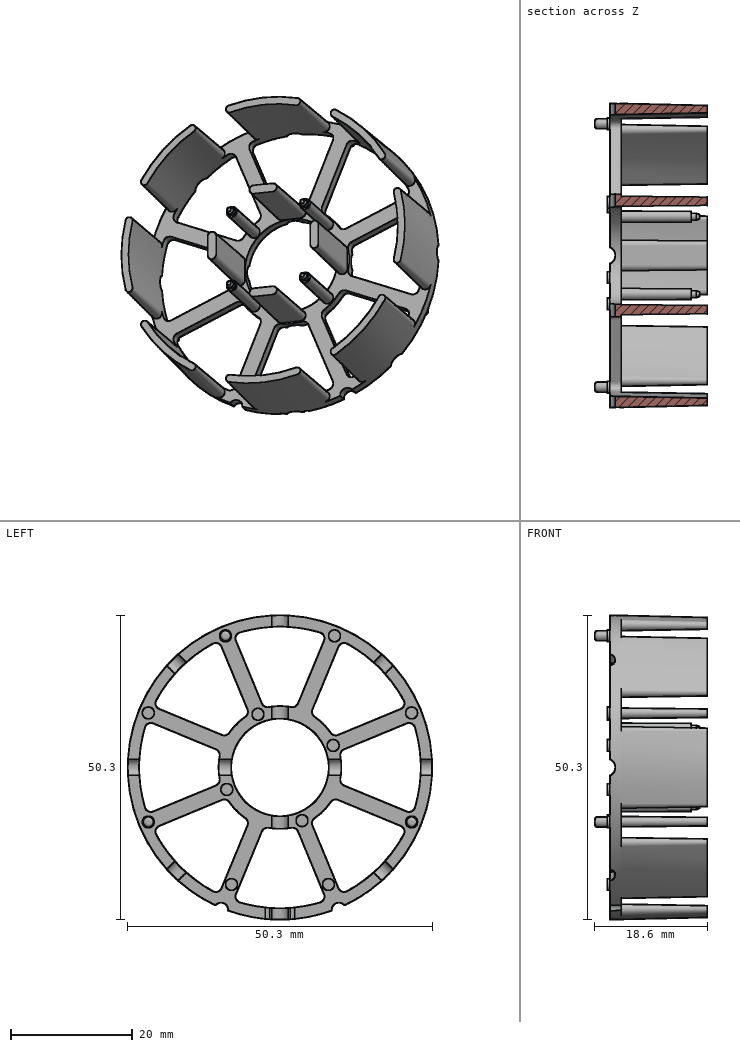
import cadquery as cq
import math


rim_radius = 25.15
rim_inner_radius = 23.25
hub_radius = 10.15
bore_radius = 8.05
plate_thickness = 1.9
spoke_width = 2.6
window_fillet = 1.0
sector_count = 8
sector_angle = 360.0 / sector_count
half_sector = sector_angle / 2
window_middle = (hub_radius + rim_inner_radius) / 2
cut_reach = rim_radius + 0.5

notch_radius = 1.3
notch_flat = 0.2
notch_depth = 0.85
side_notch_radius = 0.4
side_notch_offset = 2.05
edge_notch_radius = 1.15
edge_notch_center = 25.45

length = 16.1
wall_end_outer = 24.8
wall_end_inner = 23.55
wall_edge_offset = 6.05

bar_circle = 8.95
bar_flat_width = 3.3
bar_thickness = 1.75
bar_end_thickness = 1.45
post_circle = 9.05
post_radius = 0.95
post_end_radius = 0.9
post_length = 13.45
post_pin_radius = 0.6
post_pin_tip_radius = 0.35
post_pin_straight_end = 14.25
post_pin_end = 14.85

pad_radius = 0.98
pad_height = 0.45
outer_pad_circle = 23.55
inner_pad_circle = 9.5
low_pad_circle = 20.95
pin_radius = 0.85
pin_height = 2.5
pin_fillet = 0.5

rim_pad_angles = [half_sector, 3 * half_sector, 5 * half_sector, 7 * half_sector, -half_sector, 9 * half_sector]
pin_angles = [3 * half_sector, -half_sector, 9 * half_sector]
hub_pad_angles = [half_sector * step for step in (-1, 3, 7, 11)]
low_angles = [half_sector * step for step in (11, 13)]


def turned(solid, angle):
    """Turn a solid about the wheel axis, from +Y toward +Z."""
    return solid.rotate((0, 0, 0), (1, 0, 0), angle)


def disc(radius, start, end):
    return cq.Workplane("YZ", origin=(start, 0, 0)).circle(radius).extrude(end - start)


def polar(radius, angle):
    return radius * math.cos(math.radians(angle)), radius * math.sin(math.radians(angle))


def at_polar(solid, radius, angle):
    y, z = polar(radius, angle)
    return solid.translate((0, y, z))


def outer_radius(x):
    """Outside radius of the rim and walls at a given X."""
    return rim_radius + (x - notch_depth) * (wall_end_outer - rim_radius) / (length - notch_depth)


def inner_radius(x):
    """Inside radius of the rim and walls at a given X."""
    return rim_inner_radius + x * (wall_end_inner - rim_inner_radius) / length


def cone(start_radius, end_radius):
    """A cone as thick as the plate, along the wheel axis."""
    section = [(0, 0), (0, start_radius), (plate_thickness, end_radius), (plate_thickness, 0)]
    return cq.Workplane("XY").polyline(section).close().revolve(360, (0, 0, 0), (1, 0, 0))


def make_plate():
    windows = cone(inner_radius(0), inner_radius(plate_thickness))
    windows = windows.cut(disc(hub_radius, 0, plate_thickness))
    for index in range(sector_count // 2):
        spoke = cq.Workplane("XY").box(2 * plate_thickness, 2 * cut_reach, spoke_width)
        windows = windows.cut(turned(spoke, half_sector + index * sector_angle))
    windows = windows.edges("not (<X or >X)").fillet(window_fillet)
    blank = cone(outer_radius(0), outer_radius(plate_thickness))
    return blank.cut(disc(bore_radius, 0, plate_thickness)).cut(windows)


def wall_section(x):
    """Curved section of the +Y wall at a given X, with half-round ends."""
    outer = outer_radius(x)
    inner = inner_radius(x)
    middle = (outer + inner) / 2
    end_angle = math.degrees(math.asin(wall_edge_offset / outer))
    middle_y, middle_z = polar(middle, end_angle)
    bulge_y, bulge_z = polar((outer - inner) / 2, end_angle + 90)
    tip_y = middle_y + bulge_y
    tip_z = middle_z + bulge_z
    wire = (
        cq.Workplane("YZ", origin=(x, 0, 0))
        .moveTo(*polar(outer, -end_angle))
        .threePointArc((outer, 0), polar(outer, end_angle))
        .threePointArc((tip_y, tip_z), polar(inner, end_angle))
        .threePointArc((inner, 0), polar(inner, -end_angle))
        .threePointArc((tip_y, -tip_z), polar(outer, -end_angle))
        .close()
    )
    return wire.val()


def make_wall():
    """One wall centered on +Y."""
    sections = [wall_section(plate_thickness), wall_section(length)]
    return cq.Workplane(cq.Solid.makeLoft(sections, True))


def make_bar():
    """One flat bar on +Y with half-round sides, tapering toward its free end."""
    return (
        cq.Workplane("YZ", origin=(plate_thickness, bar_circle, 0))
        .slot2D(bar_flat_width + bar_thickness, bar_thickness, 90)
        .workplane(offset=length - plate_thickness)
        .slot2D(bar_flat_width + bar_end_thickness, bar_end_thickness, 90)
        .loft(ruled=True)
    )


def make_post():
    """A tapered round post with a smaller pin on its end, on the wheel axis."""
    section = [
        (plate_thickness, 0),
        (plate_thickness, post_radius),
        (post_length, post_end_radius),
        (post_length, post_pin_radius),
        (post_pin_straight_end, post_pin_radius),
        (post_pin_end, post_pin_tip_radius),
        (post_pin_end, 0),
    ]
    return cq.Workplane("XY").polyline(section).close().revolve(360, (0, 0, 0), (1, 0, 0))


def make_notch(inner):
    """A groove across the plate face along +Y, with round sides and a narrow flat floor."""
    profile = cq.Workplane("XZ", origin=(notch_depth - notch_radius, inner, 0))
    return profile.slot2D(notch_flat + 2 * notch_radius, 2 * notch_radius, 90).extrude(inner - cut_reach)


def make_side_notch():
    """A small round groove across the rim face along +Y."""
    profile = cq.Workplane("XZ", origin=(0, window_middle, 0))
    return profile.circle(side_notch_radius).extrude(window_middle - cut_reach)


plate = make_plate()

for index in range(sector_count):
    angle = index * sector_angle
    inner = 0 if index % 2 == 0 else window_middle
    plate = plate.cut(turned(make_notch(inner), angle))
side_notch = make_side_notch()
for offset in (-side_notch_offset, side_notch_offset):
    plate = plate.cut(turned(side_notch.translate((0, 0, offset)), -90))
for angle in low_angles:
    plate = plate.cut(at_polar(disc(edge_notch_radius, 0, plate_thickness), edge_notch_center, angle))

result = plate

wall = make_wall()
bar = make_bar()
post = make_post()
for index in range(sector_count):
    angle = index * sector_angle
    result = result.union(turned(wall, angle))
    if index % 2 == 0:
        result = result.union(turned(bar, angle))
    else:
        result = result.union(at_polar(post, post_circle, angle))

pad = disc(pad_radius, -pad_height, plate_thickness / 2)
pin = disc(pin_radius, -pin_height, 0).faces("<X").edges().fillet(pin_fillet)
pad_groups = [
    (outer_pad_circle, rim_pad_angles),
    (inner_pad_circle, hub_pad_angles),
    (low_pad_circle, low_angles),
]
for circle, angles in pad_groups:
    for angle in angles:
        result = result.union(at_polar(pad, circle, angle))
for angle in pin_angles:
    result = result.union(at_polar(pin, outer_pad_circle, angle))